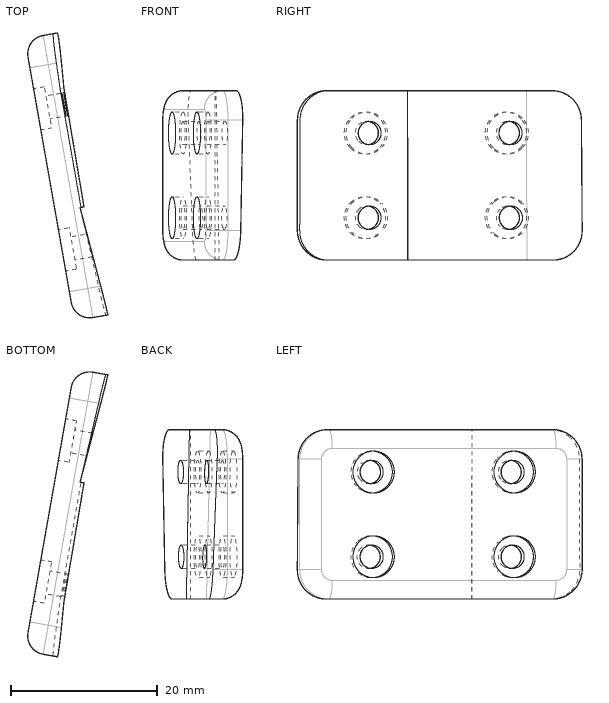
import cadquery as cq

length = 39.0
height = 23.1
tilt_angle = 10
corner_radius = 4.05
edge_fillet = 2.55

shoulder_inset = 7.55
step_position = -4.45

upper_thicknesses = (4.7, 3.45, 3.57, 3.57, 3.8)
lower_thicknesses = (4.25, 3.45, 4.0, 4.1, 4.7)

hole_diameter = 3.2
counterbore_diameter = 5.7
counterbore_depth = 1.5
hole_spacing_y = 19.5
hole_spacing_z = 11.53


def back_contour(thicknesses):
    """Outline of the plate in plan for the given thicknesses at the stations."""
    toe, step_low, step_high, shoulder, end = thicknesses
    half_length = length / 2
    return [
        (0, -half_length),
        (toe, -half_length),
        (step_low, step_position),
        (step_high, step_position),
        (shoulder, half_length - shoulder_inset),
        (end, half_length),
        (0, half_length),
    ]


def make_contoured_block():
    """Block whose back surface twists slightly from the lower to the upper edge."""
    return (
        cq.Workplane("XY", origin=(0, 0, -height / 2))
        .polyline(back_contour(lower_thicknesses)).close()
        .workplane(offset=height)
        .polyline(back_contour(upper_thicknesses)).close()
        .loft(ruled=True)
    )


def make_rounded_slab():
    """Slab with rounded corners and a filleted front rim."""
    slab_thickness = max(upper_thicknesses + lower_thicknesses)
    return (
        cq.Workplane("YZ")
        .rect(length, height)
        .extrude(slab_thickness)
        .edges("|X").fillet(corner_radius)
        .faces("<X").edges().fillet(edge_fillet)
    )


def drill_holes(body):
    """Four counterbored through holes, centred on the plate."""
    return (
        body.faces("<X")
        .workplane(origin=(0, 0, 0))
        .rarray(hole_spacing_y, hole_spacing_z, 2, 2)
        .cboreHole(hole_diameter, counterbore_diameter, counterbore_depth)
    )


plate = make_rounded_slab().intersect(make_contoured_block())
plate = drill_holes(plate)
result = plate.rotate((0, 0, 0), (0, 0, 1), tilt_angle)